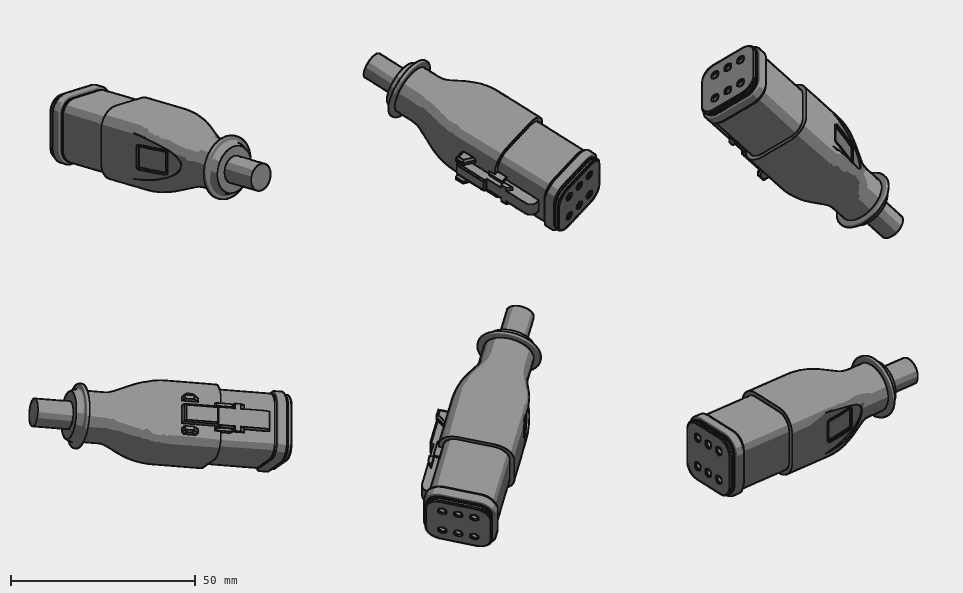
import cadquery as cq
import math

TOTAL_LENGTH = 70.8
OVERLAP = 0.7

PLUG_HALF_Y = 9.3
PLUG_HALF_Z = 9.1
PLUG_CORNER = 4.3
TIP_END = 1.1
TIP_CHAMFER = 0.35
SEAL_START = 1.8
SEAL_END = 4.3
SEAL_HEIGHT = 0.8
SEAL_ROUNDING = 0.3
GROOVE_END = 4.95
GROOVE_DEPTH = 0.2

HOLE_PITCH_Y = 4.45
HOLE_PITCH_Z = 9.05
HOLE_RADIUS = 0.9
HOLE_RIM_RADIUS = 1.3
HOLE_DEPTH = 4.25

GRIP_START = 20.8
GRIP_HALF_Y = 10.55
GRIP_HALF_Z = 10.4
GRIP_CORNER = 5.6
TAPER_START = 34.95
TAPER_ANGLE = math.radians(19.8)
TAPER_BEND_RADIUS = 26.9
GRIP_END = 51.65
NECK_START = 47.4
NECK_FILLET = 7.8

PANEL_START = 28.5
PANEL_LENGTH = 19.4
PANEL_HALF_WIDTH = 6.65
PANEL_BEND_START = 26.9
PANEL_BEND_RADIUS = 67.95
LABEL_START = 33.7
LABEL_END = 43.7
LABEL_HALF_WIDTH = 3.55
LABEL_CORNER = 0.85
LABEL_DEPTH = 0.4
LABEL_RIM = 0.6

BARREL_RADIUS = 7.0
BARREL_START = 45.3
FLANGE_START = 57.6
FLANGE_END = 58.6
FLANGE_RADIUS = 8.85
FLANGE_ROUNDING = 0.3
COLLAR_END = 60.7
COLLAR_BASE_RADIUS = 7.9
COLLAR_FLARE_END = 59.2
COLLAR_FLARE_RADIUS = 7.2
COLLAR_TIP_RADIUS = 6.6
CABLE_RADIUS = 3.8

LATCH_ROOT = 8.85
LATCH_TOP = 13.4
LATCH_CHAMFER = 0.4
BEAM_START = 6.7
BEAM_TOP = 12.25
BEAM_HALF_WIDTH = 2.5
BEAM_NOSE_RADIUS = 2.35
HEAD_START = 22.2
HEAD_END = 32.0
RAIL_INNER = 3.8
RAIL_OUTER = 5.45
RAIL_CHAMFER = 0.65
RAIL_FOOT_START = 27.3
RAIL_TOP_START = 29.45
HOOK_START = 14.4
HOOK_RAMP_END = 15.7
HOOK_END = 17.35
HOOK_BOTTOM = 11.05
FOOT_START = 17.75
FOOT_END = 22.65
FOOT_TOP = 11.25
FOOT_INNER = 3.05


def rounded_bar(start, end, half_y, half_z, corner):
    """Bar along X with a rounded rectangular section."""
    return (
        cq.Workplane("YZ", origin=(start, 0, 0))
        .rect(2 * half_y, 2 * half_z)
        .extrude(end - start)
        .edges("|X")
        .fillet(corner)
    )


def plate_in_xy(points, half_width):
    """Closed XY polygon extruded evenly to both sides of Z = 0."""
    return cq.Workplane("XY").polyline(points).close().extrude(half_width, both=True)


def plug():
    inner_y = PLUG_HALF_Y - GROOVE_DEPTH
    inner_z = PLUG_HALF_Z - GROOVE_DEPTH
    inner_corner = PLUG_CORNER - GROOVE_DEPTH
    tip = rounded_bar(0, TIP_END, PLUG_HALF_Y, PLUG_HALF_Z, PLUG_CORNER)
    tip = tip.faces("<X").chamfer(TIP_CHAMFER)
    core = rounded_bar(TIP_END, GROOVE_END, inner_y, inner_z, inner_corner)
    seal = rounded_bar(
        SEAL_START,
        SEAL_END,
        PLUG_HALF_Y + SEAL_HEIGHT,
        PLUG_HALF_Z + SEAL_HEIGHT,
        PLUG_CORNER + SEAL_HEIGHT,
    )
    seal = seal.faces("<X or >X").edges().fillet(SEAL_ROUNDING)
    body = rounded_bar(GROOVE_END, GRIP_START + OVERLAP, PLUG_HALF_Y, PLUG_HALF_Z, PLUG_CORNER)
    return tip.union(core).union(seal).union(body)


def contact_holes():
    """Six blind holes with 45 degree countersunk rims, in two rows of three."""
    rim_depth = HOLE_RIM_RADIUS - HOLE_RADIUS
    profile = [
        (0, 0),
        (0, HOLE_RIM_RADIUS),
        (rim_depth, HOLE_RADIUS),
        (HOLE_DEPTH, HOLE_RADIUS),
        (HOLE_DEPTH, 0),
    ]
    hole = cq.Workplane("XY").polyline(profile).close().revolve(360, (0, 0, 0), (1, 0, 0))
    holes = cq.Workplane("XY")
    for column in (-1, 0, 1):
        for row in (-0.5, 0.5):
            holes = holes.add(hole.translate((0, column * HOLE_PITCH_Y, row * HOLE_PITCH_Z)))
    return holes.combine()


def taper_points(half, bend_start, bend_radius):
    """Middle and end of a bend starting at the given half size, then the end of the straight taper."""
    def on_bend(angle):
        run = bend_radius * math.sin(angle)
        drop = bend_radius * (1 - math.cos(angle))
        return bend_start + run, half - drop

    bend_end = on_bend(TAPER_ANGLE)
    tail = (GRIP_END, bend_end[1] - (GRIP_END - bend_end[0]) * math.tan(TAPER_ANGLE))
    return on_bend(TAPER_ANGLE / 2), bend_end, tail


def mirrored(point):
    return point[0], -point[1]


def tapered_outline(plane, half, depth):
    """Symmetric outline of the grip: straight sides, then a bend into a straight taper."""
    bend_mid, bend_end, tail = taper_points(half, TAPER_START, TAPER_BEND_RADIUS)
    return (
        cq.Workplane(plane)
        .moveTo(GRIP_START, half)
        .lineTo(TAPER_START, half)
        .threePointArc(bend_mid, bend_end)
        .lineTo(*tail)
        .lineTo(*mirrored(tail))
        .lineTo(*mirrored(bend_end))
        .threePointArc(mirrored(bend_mid), (TAPER_START, -half))
        .lineTo(GRIP_START, -half)
        .close()
        .extrude(depth, both=True)
    )


def is_long_corner(edge):
    """True for the four lengthwise corners of the grip, away from both middle planes."""
    box = edge.BoundingBox()
    clear_of_middle = box.ymin * box.ymax > 0 and box.zmin * box.zmax > 0
    return box.xlen > OVERLAP and clear_of_middle


def is_neck_edge(edge):
    """True for the edges where the tapering grip runs into the barrel."""
    box = edge.BoundingBox()
    return box.xmin > NECK_START and box.xmax < GRIP_END


def grip_and_barrel():
    outline_y = tapered_outline("XY", GRIP_HALF_Y, 2 * GRIP_HALF_Z)
    outline_z = tapered_outline("XZ", GRIP_HALF_Z, 2 * GRIP_HALF_Y)
    grip = outline_y.intersect(outline_z)
    corners = [edge for edge in grip.edges().vals() if is_long_corner(edge)]
    grip = grip.newObject(corners).fillet(GRIP_CORNER)

    barrel = (
        cq.Workplane("YZ", origin=(BARREL_START, 0, 0))
        .circle(BARREL_RADIUS)
        .extrude(FLANGE_END - BARREL_START)
    )
    body = grip.union(barrel)
    neck = [edge for edge in body.edges().vals() if is_neck_edge(edge)]
    return body.newObject(neck).fillet(NECK_FILLET)


def outside_floor(sink):
    """Space on the -Y side beyond the panel floor, with the floor lowered by sink."""
    half = GRIP_HALF_Y - sink
    outer = GRIP_HALF_Y + OVERLAP
    bend_mid, bend_end, tail = taper_points(half, PANEL_BEND_START, PANEL_BEND_RADIUS)
    return (
        cq.Workplane("XY")
        .moveTo(PANEL_BEND_START, -half)
        .threePointArc(mirrored(bend_mid), mirrored(bend_end))
        .lineTo(*mirrored(tail))
        .lineTo(GRIP_END, -outer)
        .lineTo(PANEL_BEND_START, -outer)
        .close()
        .extrude(GRIP_HALF_Z, both=True)
    )


def panel_cut():
    """Rounded panel that dips gradually below the grip wall toward the neck."""
    outline = (
        cq.Workplane("XZ")
        .center(PANEL_START, 0)
        .ellipse(PANEL_LENGTH, PANEL_HALF_WIDTH)
        .extrude(GRIP_HALF_Y + OVERLAP)
    )
    return outline.intersect(outside_floor(0))


def label_cut():
    """Pocket with a half-depth step all round its floor."""
    def pocket(margin, sink):
        outline = (
            cq.Workplane("XZ")
            .center((LABEL_START + LABEL_END) / 2, 0)
            .rect(LABEL_END - LABEL_START - 2 * margin, 2 * (LABEL_HALF_WIDTH - margin))
            .extrude(GRIP_HALF_Y + OVERLAP)
            .edges("|Y")
            .fillet(LABEL_CORNER - margin)
        )
        return outline.intersect(outside_floor(sink))

    return pocket(0, LABEL_DEPTH / 2).union(pocket(LABEL_RIM, LABEL_DEPTH))


def flange_and_cable():
    flange = (
        cq.Workplane("YZ", origin=(FLANGE_START, 0, 0))
        .circle(FLANGE_RADIUS)
        .extrude(FLANGE_END - FLANGE_START)
        .edges()
        .fillet(FLANGE_ROUNDING)
    )
    flare_run = COLLAR_FLARE_END - FLANGE_END
    flare_drop = COLLAR_BASE_RADIUS - COLLAR_FLARE_RADIUS
    flare_mid = (
        COLLAR_FLARE_END - flare_run * math.sqrt(0.5),
        COLLAR_BASE_RADIUS - flare_drop * math.sqrt(0.5),
    )
    collar = (
        cq.Workplane("XY")
        .moveTo(FLANGE_START, 0)
        .lineTo(FLANGE_START, COLLAR_BASE_RADIUS)
        .lineTo(FLANGE_END, COLLAR_BASE_RADIUS)
        .threePointArc(flare_mid, (COLLAR_FLARE_END, COLLAR_FLARE_RADIUS))
        .lineTo(COLLAR_END, COLLAR_TIP_RADIUS)
        .lineTo(COLLAR_END, 0)
        .close()
        .revolve(360, (0, 0, 0), (1, 0, 0))
    )
    cable = (
        cq.Workplane("YZ", origin=(FLANGE_START, 0, 0))
        .circle(CABLE_RADIUS)
        .extrude(TOTAL_LENGTH - FLANGE_START)
    )
    return flange.union(collar).union(cable)


def latch_beam():
    """Middle tongue: rounded nose, flat beam and raised head."""
    nose_end = BEAM_START + BEAM_NOSE_RADIUS
    nose_inset = BEAM_NOSE_RADIUS * (1 - math.sqrt(0.5))
    beam = (
        cq.Workplane("XY")
        .moveTo(BEAM_START, LATCH_ROOT)
        .lineTo(BEAM_START, BEAM_TOP - BEAM_NOSE_RADIUS)
        .threePointArc((BEAM_START + nose_inset, BEAM_TOP - nose_inset), (nose_end, BEAM_TOP))
        .lineTo(HEAD_END, BEAM_TOP)
        .lineTo(HEAD_END, LATCH_ROOT)
        .close()
        .extrude(BEAM_HALF_WIDTH, both=True)
    )
    head = plate_in_xy(
        [(HEAD_START, LATCH_ROOT), (HEAD_START, LATCH_TOP), (HEAD_END, LATCH_TOP), (HEAD_END, LATCH_ROOT)],
        BEAM_HALF_WIDTH,
    )
    return beam.union(head.faces(">Y").chamfer(LATCH_CHAMFER))


def latch_rail():
    """Outer rail on the +Z side, with a slanted front."""
    profile = [
        (RAIL_FOOT_START, LATCH_ROOT),
        (RAIL_FOOT_START, GRIP_HALF_Y),
        (RAIL_TOP_START, LATCH_TOP),
        (HEAD_END, LATCH_TOP),
        (HEAD_END, LATCH_ROOT),
    ]
    rail = (
        cq.Workplane("XY", origin=(0, 0, RAIL_INNER))
        .polyline(profile)
        .close()
        .extrude(RAIL_OUTER - RAIL_INNER)
    )
    return rail.faces(">Z").edges().chamfer(RAIL_CHAMFER)


def latch():
    hook = plate_in_xy(
        [
            (HOOK_START, HOOK_BOTTOM),
            (HOOK_RAMP_END, BEAM_TOP),
            (HOOK_END, BEAM_TOP),
            (HOOK_END, HOOK_BOTTOM),
        ],
        RAIL_INNER,
    )
    foot = (
        cq.Workplane("XY", origin=(FOOT_START, LATCH_ROOT, FOOT_INNER))
        .box(FOOT_END - FOOT_START, FOOT_TOP - LATCH_ROOT, RAIL_INNER - FOOT_INNER, centered=False)
        .edges(">X and >Y")
        .chamfer(LATCH_CHAMFER)
    )
    side_parts = foot.union(latch_rail())
    return latch_beam().union(hook).union(side_parts).union(side_parts.mirror("XY"))


result = (
    grip_and_barrel()
    .cut(panel_cut())
    .cut(label_cut())
    .union(plug())
    .union(flange_and_cable())
    .union(latch())
    .cut(contact_holes())
)